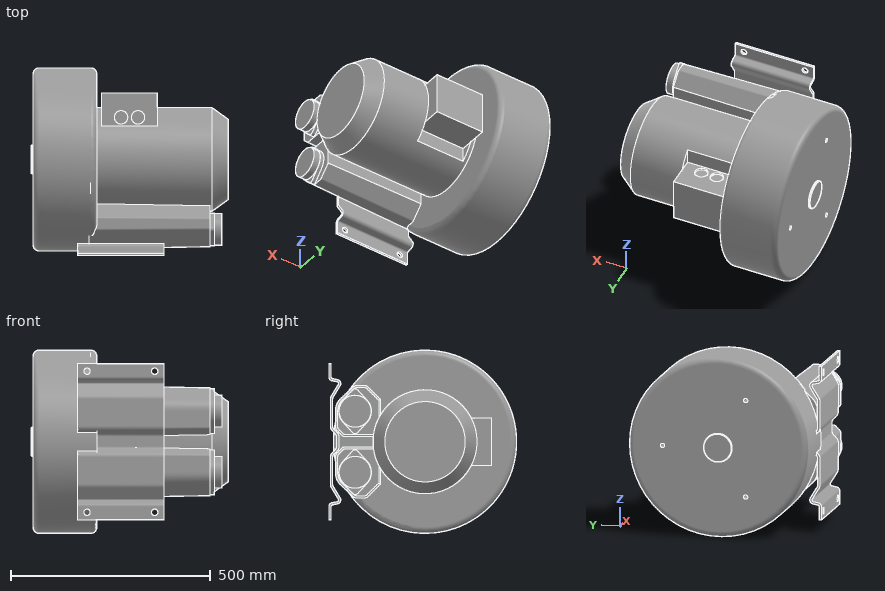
import cadquery as cq
import math


overall_depth = 470.5

housing_diameter = 459.0
housing_radius = housing_diameter / 2
housing_front = 4.5
housing_back = 164.0
housing_fillet = 15.5
hub_radius = 36.5
hub_chamfer = 1.5

screw_hole_count = 3
screw_hole_radius = 5.5
screw_hole_depth = 15.0
screw_circle_radius = 142.0

motor_radius = 130.0
motor_taper_start = 452.0
motor_end = 493.0
motor_end_radius = 100.5

silencer_start = 144.0
silencer_end = 447.5
silencer_draft = 1.0
silencer_inner_y = -110.5
silencer_outer_y = -224.0
silencer_low_z = 12.5
silencer_high_z = 140.5
silencer_small_chamfer = 19.0
silencer_inner_chamfer = 35.0
silencer_outer_chamfer_y = 47.5
silencer_outer_chamfer_z = 44.5
silencer_large_round = 38.5
silencer_small_round = 8.0

port_y = -175.0
port_z = 76.5
port_radius = 40.0
port_end = 477.0
flange_radius = 41.0
flange_thickness = 11.0
ear_radius = 8.5
ear_offset = 48.0

box_start = 175.5
box_length = 140.0
box_inner_y = 84.0
box_outer_y = 166.5
box_half_height = 59.0
entry_radius = 17.0
entry_depth = 5.0
entry_y = 105.5
entry_first_x = 225.0
entry_pitch = 42.5

foot_center_x = 224.5
foot_length = 216.5
foot_sheet = 6.0
foot_outer_y = housing_radius - overall_depth
foot_half_height = 195.5
foot_web_setback = 4.0
foot_bridge_setback = 19.5
foot_flange_corner_z = 156.5
foot_fold_y = -209.0
foot_fold_z = 151.0
foot_web_high_z = 110.5
foot_web_low_z = 33.5
foot_bridge_z = 17.7
foot_tight_bend = 7.5
foot_wide_bend = 13.5
foot_hole_radius = 8.0
foot_hole_z = 176.5
foot_hole_spacing = 169.0


def make_disc(radius, start, end):
    """A cylinder about the machine axis."""
    return cq.Workplane("YZ").workplane(offset=start).circle(radius).extrude(end - start)


def make_housing():
    housing = make_disc(housing_radius, housing_front, housing_back).edges().fillet(housing_fillet)
    hub = make_disc(hub_radius, 0, housing_front).faces("<X").chamfer(hub_chamfer)
    return housing.union(hub)


def make_motor():
    """Motor barrel with a tapered end and a flat seat for the terminal box."""
    motor = (
        cq.Workplane("XY")
        .moveTo(housing_front + housing_fillet, 0)
        .lineTo(housing_front + housing_fillet, motor_radius)
        .lineTo(motor_taper_start, motor_radius)
        .lineTo(motor_end, motor_end_radius)
        .lineTo(motor_end, 0)
        .close()
        .revolve(360, (0, 0, 0), (1, 0, 0))
    )
    seat = cq.Workplane("XY").box(box_length, motor_radius, 2 * motor_radius, centered=(False, False, True))
    return motor.cut(seat.translate((box_start, box_inner_y, 0)))


def round_long_edge(body, corner, radius):
    """Round the lengthwise silencer edge that starts at an outline corner."""
    middle = ((silencer_start + silencer_end) / 2, *corner)
    return body.edges(cq.selectors.NearestToPointSelector(middle)).fillet(radius)


def make_upper_silencer():
    """Tapered silencer, largest at the housing."""
    large_corner = (silencer_outer_y, silencer_high_z - silencer_outer_chamfer_z)
    small_corners = [
        (silencer_inner_y - silencer_inner_chamfer, silencer_high_z),
        (silencer_outer_y + silencer_outer_chamfer_y, silencer_high_z),
        (silencer_outer_y, silencer_low_z + silencer_small_chamfer),
        (silencer_outer_y + silencer_small_chamfer, silencer_low_z),
    ]
    outline = [
        (silencer_inner_y, silencer_low_z),
        (silencer_inner_y, silencer_high_z - silencer_inner_chamfer),
        *small_corners[:2],
        large_corner,
        *small_corners[2:],
    ]
    length = silencer_end - silencer_start
    body = (
        cq.Workplane("YZ")
        .workplane(offset=silencer_start)
        .polyline(outline)
        .close()
        .extrude(length, taper=silencer_draft)
    )
    body = round_long_edge(body, large_corner, silencer_large_round)
    for corner in small_corners:
        body = round_long_edge(body, corner, silencer_small_round)
    return body


def make_silencer_bridge():
    """Unrounded stretch of the housing rim that joins the two silencers."""
    rim = make_disc(housing_radius, silencer_start, housing_back)
    length = housing_back - silencer_start
    between = cq.Workplane("XY").box(length, housing_radius, 2 * port_z, centered=(False, False, True))
    return rim.intersect(between.translate((silencer_start, -housing_radius, 0)))


def make_upper_port():
    tangent = math.acos((flange_radius - ear_radius) / ear_offset)
    sine = math.sin(tangent)
    cosine = math.cos(tangent)
    ear_z = ear_offset + ear_radius * cosine
    shoulder = (flange_radius * sine, flange_radius * cosine)
    ear = (ear_radius * sine, ear_z)
    flange = (
        cq.Workplane("YZ", origin=(silencer_end, port_y, port_z))
        .moveTo(shoulder[0], shoulder[1])
        .lineTo(ear[0], ear[1])
        .threePointArc((0, ear_offset + ear_radius), (-ear[0], ear[1]))
        .lineTo(-shoulder[0], shoulder[1])
        .threePointArc((-flange_radius, 0), (-shoulder[0], -shoulder[1]))
        .lineTo(-ear[0], -ear[1])
        .threePointArc((0, -ear_offset - ear_radius), (ear[0], -ear[1]))
        .lineTo(shoulder[0], -shoulder[1])
        .threePointArc((flange_radius, 0), shoulder)
        .close()
        .extrude(flange_thickness)
    )
    port = cq.Workplane("YZ", origin=(silencer_end, port_y, port_z)).circle(port_radius)
    return flange.union(port.extrude(port_end - silencer_end))


def make_screw_hole(index):
    """Cone-shaped cutter for one hole in the housing front."""
    angle = 360 / screw_hole_count * index
    hole = (
        cq.Workplane("XY")
        .moveTo(housing_front, 0)
        .lineTo(housing_front, screw_hole_radius)
        .lineTo(housing_front + screw_hole_depth, 0)
        .close()
        .revolve(360, (0, 0, 0), (1, 0, 0))
        .translate((0, screw_circle_radius, 0))
    )
    return hole.rotate((0, 0, 0), (1, 0, 0), angle)


def make_blower():
    blower = make_housing().union(make_motor()).union(make_silencer_bridge())
    for part in (make_upper_silencer(), make_upper_port()):
        blower = blower.union(part).union(part.mirror("XY"))
    for index in range(screw_hole_count):
        blower = blower.cut(make_screw_hole(index))
    return blower


def make_terminal_box():
    box = cq.Workplane("XY").box(
        box_length, box_outer_y - box_inner_y, 2 * box_half_height, centered=(False, False, True)
    )
    box = box.translate((box_start, box_inner_y, 0))
    entries = (
        cq.Workplane("XY", origin=(entry_first_x, entry_y, box_half_height))
        .pushPoints([(0, 0), (entry_pitch, 0)])
        .circle(entry_radius)
        .extrude(-entry_depth)
    )
    return box.cut(entries)


def round_bends(path, heights, radius):
    """Round the corners of a path that lie at the given distances above and below Z = 0."""
    corners = [
        corner
        for corner in path.Vertices()
        if any(math.isclose(abs(corner.Z), height) for height in heights)
    ]
    return path.fillet(radius, corners)


def make_foot():
    """Bent sheet swept along its middle line, from the upper flange to the lower one."""
    flange_y = foot_outer_y + foot_sheet / 2
    web_y = flange_y + foot_web_setback
    bridge_y = flange_y + foot_bridge_setback
    upper = [
        (flange_y, foot_half_height),
        (flange_y, foot_flange_corner_z),
        (foot_fold_y, foot_fold_z),
        (web_y, foot_web_high_z),
        (web_y, foot_web_low_z),
        (bridge_y, foot_bridge_z),
    ]
    points = upper + [(y, -z) for y, z in reversed(upper)]
    path = cq.Wire.makePolygon([cq.Vector(foot_center_x, y, z) for y, z in points])
    path = round_bends(path, (foot_flange_corner_z, foot_fold_z), foot_tight_bend)
    path = round_bends(path, (foot_web_high_z, foot_web_low_z, foot_bridge_z), foot_wide_bend)
    sheet = (
        cq.Workplane("XY", origin=(foot_center_x, flange_y, foot_half_height))
        .rect(foot_length, foot_sheet)
        .sweep(cq.Workplane(path))
    )
    holes = (
        cq.Workplane("XZ", origin=(foot_center_x, flange_y, 0))
        .rect(foot_hole_spacing, 2 * foot_hole_z, forConstruction=True)
        .vertices()
        .circle(foot_hole_radius)
        .extrude(foot_sheet, both=True)
    )
    return sheet.cut(holes)


blower = make_blower()
terminal_box = make_terminal_box()
foot = make_foot().cut(blower)

result = cq.Compound.makeCompound([blower.val(), terminal_box.val(), foot.val()])